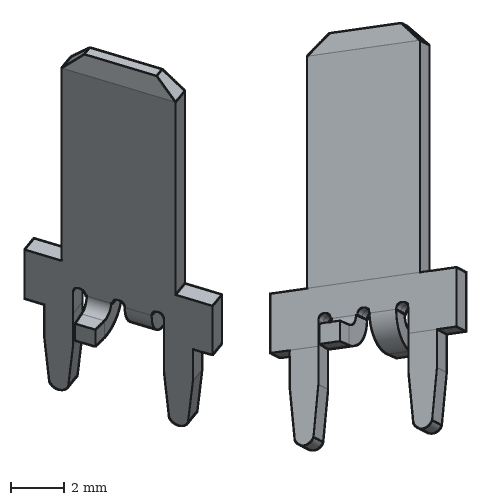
import cadquery as cq
import math

height = 16.05
thickness = 0.8

blade_width = 4.8
tip_width = 3.05
tip_thickness = 0.48
tip_height = 0.83

shoulder_width = 7.91
shoulder_top = 6.13
shoulder_bottom = 3.8

slot_radius = 0.25
tab_root_width = 1.14
tab_bend_end_width = 0.96
tab_tip_width = 0.85
tab_span = 3.1
tab_root_z = 4.82
bend_inner_radius = 0.5
tab_center_x = slot_radius + tab_root_width / 2
slot_pitch = tab_root_width + 2 * slot_radius

leg_width = 1.22
leg_end_width = 0.8
leg_taper_start = 2.31
leg_round_height = 0.27
leg_inner_x = slot_pitch + slot_radius
leg_center_x = leg_inner_x + leg_width / 2


def make_blade():
    straight_height = height - tip_height - shoulder_top
    blade = (
        cq.Workplane("XY", origin=(0, 0, shoulder_top))
        .rect(blade_width, thickness)
        .extrude(straight_height)
    )
    tip = (
        cq.Workplane("XY", origin=(0, 0, height - tip_height))
        .rect(blade_width, thickness)
        .workplane(offset=tip_height)
        .rect(tip_width, tip_thickness)
        .loft(ruled=True)
    )
    return blade.union(tip)


def make_shoulders():
    """Cross bar, with its middle raised to the tab roots and the slot ends cut out."""
    bar = (
        cq.Workplane("XY", origin=(0, 0, shoulder_bottom))
        .rect(shoulder_width, thickness)
        .extrude(shoulder_top - shoulder_bottom)
    )
    bay = (
        cq.Workplane("XY", origin=(0, 0, shoulder_bottom))
        .rect(2 * leg_inner_x, thickness)
        .extrude(tab_root_z - shoulder_bottom)
    )
    slot_ends = (
        cq.Workplane("XZ")
        .pushPoints([(i * slot_pitch, tab_root_z) for i in (-1, 0, 1)])
        .circle(slot_radius)
        .extrude(thickness / 2, both=True)
    )
    return bar.cut(bay).cut(slot_ends)


def make_leg(center_x):
    half_width = leg_width / 2
    half_end = leg_end_width / 2
    return (
        cq.Workplane("XZ", origin=(center_x, 0, 0))
        .moveTo(-half_width, shoulder_bottom)
        .lineTo(-half_width, leg_taper_start)
        .lineTo(-half_end, leg_round_height)
        .threePointArc((0, 0), (half_end, leg_round_height))
        .lineTo(half_width, leg_taper_start)
        .lineTo(half_width, shoulder_bottom)
        .close()
        .extrude(thickness / 2, both=True)
    )


def make_tab():
    """Tab on the +X side, bent 90 degrees toward +Y and narrowing to its tip."""
    root_y = thickness / 2
    bend_y = root_y + bend_inner_radius
    tip_y = tab_span / 2
    outer_radius = bend_inner_radius + thickness
    top_z = tab_root_z - bend_inner_radius
    bottom_z = tab_root_z - outer_radius
    diagonal = math.sqrt(0.5)

    def bend_middle(radius):
        return (bend_y - radius * diagonal, tab_root_z - radius * diagonal)

    profile = (
        cq.Workplane("YZ", origin=(tab_center_x, 0, 0))
        .moveTo(-root_y, tab_root_z)
        .threePointArc(bend_middle(outer_radius), (bend_y, bottom_z))
        .lineTo(tip_y, bottom_z)
        .lineTo(tip_y, top_z)
        .lineTo(bend_y, top_z)
        .threePointArc(bend_middle(bend_inner_radius), (root_y, tab_root_z))
        .close()
        .extrude(tab_root_width / 2, both=True)
    )
    plan = (
        cq.Workplane("XY", origin=(tab_center_x, 0, bottom_z))
        .polyline([
            (-tab_root_width / 2, -root_y),
            (tab_root_width / 2, -root_y),
            (tab_bend_end_width / 2, bend_y),
            (tab_tip_width / 2, tip_y),
            (-tab_tip_width / 2, tip_y),
            (-tab_bend_end_width / 2, bend_y),
        ])
        .close()
        .extrude(outer_radius)
    )
    return profile.intersect(plan)


result = make_blade().union(make_shoulders())
for side in (-1, 1):
    result = result.union(make_leg(side * leg_center_x))

tab = make_tab()
for angle in (0, 180):
    result = result.union(tab.rotate((0, 0, 0), (0, 0, 1), angle))
result = result.clean()